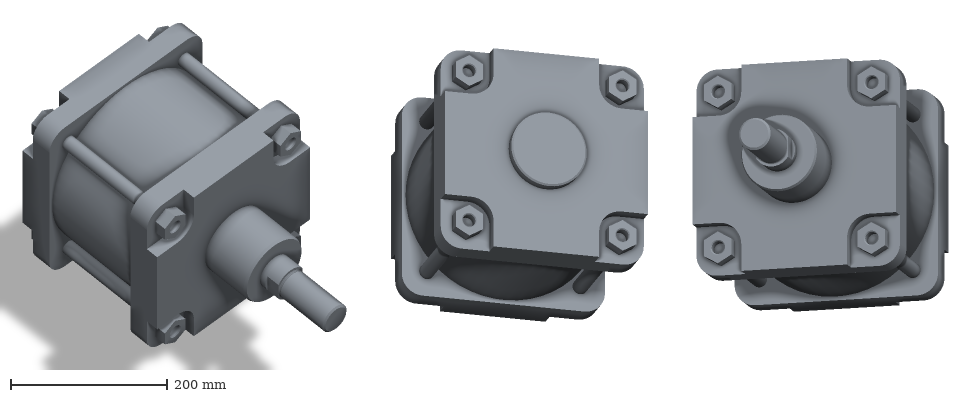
import cadquery as cq
import math


CAP_SIDE = 270.0
CAP_THICKNESS = 50.0
CAP_CORNER_RADIUS = 27.5
NOTCH_SIDE = 65.0
NOTCH_DEPTH = 19.0
NOTCH_RADIUS = 30.0
BOSS_DIAMETER = 100.0
REAR_BOSS_LENGTH = 14.0
REAR_BOSS_CHAMFER_LENGTH = 2.0
REAR_BOSS_CHAMFER_INSET = 2.3
FRONT_BOSS_LENGTH = 75.0
FRONT_BOSS_CHAMFER_LENGTH = 4.0
FRONT_BOSS_CHAMFER_INSET = 2.0

BARREL_DIAMETER = 260.0
BARREL_LENGTH = 150.0

TIE_OFFSET = 102.0
TIE_DIAMETER = 20.0
HEAD_ACROSS_FLATS = 36.2
HEAD_HEIGHT = 17.5
HEAD_HOLE_DIAMETER = 16.8
HEAD_HOLE_DEPTH = 14.5
HEAD_HOLE_CHAMFER = 1.5

COLLAR_DIAMETER = 50.0
COLLAR_LENGTH = 10.0
FLATS_LENGTH = 20.0
GROOVE_DIAMETER = 40.0
GROOVE_WIDTH = 4.0
GROOVE_CONE_LENGTH = 1.5
TIP_DIAMETER = 42.0
TIP_LENGTH = 84.3
TIP_CHAMFER_LENGTH = 2.3
TIP_CHAMFER_INSET = 2.5

REAR_CAP_INNER_X = CAP_THICKNESS
FRONT_CAP_INNER_X = REAR_CAP_INNER_X + BARREL_LENGTH
FRONT_CAP_OUTER_X = FRONT_CAP_INNER_X + CAP_THICKNESS
ROD_START_X = FRONT_CAP_OUTER_X + FRONT_BOSS_LENGTH

TIE_POSITIONS = [(y * TIE_OFFSET, z * TIE_OFFSET) for y in (-1, 1) for z in (-1, 1)]


def disc(x, diameter, length, y=0, z=0):
    """Cylinder along X that starts at x and runs toward +X."""
    return cq.Workplane("YZ", origin=(x, y, z)).circle(diameter / 2).extrude(length)


def revolve_about_x(outline):
    """Full turn of a closed XY outline about the X axis."""
    return outline.revolve(360, (0, 0, 0), (1, 0, 0))


def chamfered_disc(x, diameter, length, chamfer_length, chamfer_inset):
    """Cylinder along X whose free end narrows by chamfer_inset over the last chamfer_length.

    A negative length makes it run from x toward -X.
    """
    direction = math.copysign(1, length)
    end_x = x + length
    radius = diameter / 2
    profile = [
        (x, 0),
        (x, radius),
        (end_x - direction * chamfer_length, radius),
        (end_x, radius - chamfer_inset),
        (end_x, 0),
    ]
    return revolve_about_x(cq.Workplane("XY").polyline(profile).close())


def mirror_to_front(body):
    """Mirror a body about the mid-plane of the barrel."""
    middle_x = FRONT_CAP_OUTER_X / 2
    return body.mirror("YZ", (middle_x, 0, 0))


def corner_notch(y_sign, z_sign):
    """Block that clears one cap corner for a tie rod head, rounded at its inner edge."""
    corner = CAP_SIDE / 2
    return (
        cq.Workplane("YZ", origin=(0, y_sign * corner, z_sign * corner))
        .rect(2 * NOTCH_SIDE, 2 * NOTCH_SIDE)
        .extrude(NOTCH_DEPTH)
        .edges("|X")
        .fillet(NOTCH_RADIUS)
    )


def make_rear_facing_cap(boss_length, chamfer_length, chamfer_inset):
    """Square cap with its outer face at X = 0 and its boss pointing toward -X."""
    cap = (
        cq.Workplane("YZ")
        .rect(CAP_SIDE, CAP_SIDE)
        .extrude(CAP_THICKNESS)
        .edges("|X")
        .fillet(CAP_CORNER_RADIUS)
    )
    for y_sign in (-1, 1):
        for z_sign in (-1, 1):
            cap = cap.cut(corner_notch(y_sign, z_sign))
    for y, z in TIE_POSITIONS:
        cap = cap.cut(disc(0, TIE_DIAMETER, CAP_THICKNESS, y, z))
    boss = chamfered_disc(0, BOSS_DIAMETER, -boss_length, chamfer_length, chamfer_inset)
    return cap.union(boss)


def make_barrel():
    return disc(REAR_CAP_INNER_X, BARREL_DIAMETER, BARREL_LENGTH)


def make_tie_head(y, z):
    """Hexagonal head seated in a rear cap notch, with a chamfered blind hole in its outer end."""
    outer_x = NOTCH_DEPTH - HEAD_HEIGHT
    across_corners = HEAD_ACROSS_FLATS / math.cos(math.radians(30))
    head = (
        cq.Workplane("YZ", origin=(outer_x, y, z))
        .transformed(rotate=(0, 0, 90))
        .polygon(6, across_corners)
        .extrude(HEAD_HEIGHT)
    )
    drilled = head.cut(disc(outer_x, HEAD_HOLE_DIAMETER, HEAD_HOLE_DEPTH, y, z))
    return drilled.faces("<X").edges("%CIRCLE").chamfer(HEAD_HOLE_CHAMFER)


def make_tie_rod(y, z):
    shank_length = FRONT_CAP_OUTER_X - 2 * NOTCH_DEPTH
    shank = disc(NOTCH_DEPTH, TIE_DIAMETER, shank_length, y, z)
    rear_head = make_tie_head(y, z)
    return shank.union(rear_head).union(mirror_to_front(rear_head))


def make_rod_neck(x):
    """Collar-sized neck with two wrench flats facing -Y and +Y."""
    flats_slab = (
        cq.Workplane("YZ", origin=(x, 0, 0)).rect(TIP_DIAMETER, COLLAR_DIAMETER).extrude(FLATS_LENGTH)
    )
    return disc(x, COLLAR_DIAMETER, FLATS_LENGTH).intersect(flats_slab)


def groove_ring(x):
    """Ring with sloped sides that cuts the relief groove between neck and tip."""
    tip_radius = TIP_DIAMETER / 2
    root_radius = GROOVE_DIAMETER / 2
    profile = [
        (x, tip_radius),
        (x + GROOVE_CONE_LENGTH, root_radius),
        (x + GROOVE_WIDTH - GROOVE_CONE_LENGTH, root_radius),
        (x + GROOVE_WIDTH, tip_radius),
    ]
    return revolve_about_x(cq.Workplane("XY").polyline(profile).close())


def make_piston_rod():
    """Stepped rod that stands on the front boss: collar, flatted neck, then the grooved tip."""
    neck_x = ROD_START_X + COLLAR_LENGTH
    tip_x = neck_x + FLATS_LENGTH
    collar = disc(ROD_START_X, COLLAR_DIAMETER, COLLAR_LENGTH)
    neck = make_rod_neck(neck_x)
    tip = chamfered_disc(
        tip_x, TIP_DIAMETER, TIP_LENGTH, TIP_CHAMFER_LENGTH, TIP_CHAMFER_INSET
    ).cut(groove_ring(tip_x))
    return collar.union(neck).union(tip)


rear_cap = make_rear_facing_cap(
    REAR_BOSS_LENGTH, REAR_BOSS_CHAMFER_LENGTH, REAR_BOSS_CHAMFER_INSET
)
front_cap = mirror_to_front(
    make_rear_facing_cap(FRONT_BOSS_LENGTH, FRONT_BOSS_CHAMFER_LENGTH, FRONT_BOSS_CHAMFER_INSET)
)
barrel = make_barrel()
piston_rod = make_piston_rod()
tie_rods = [make_tie_rod(y, z) for y, z in TIE_POSITIONS]

result = cq.Compound.makeCompound(
    [
        rear_cap.val(),
        front_cap.val(),
        barrel.val(),
        piston_rod.val(),
        *[tie_rod.val() for tie_rod in tie_rods],
    ]
)